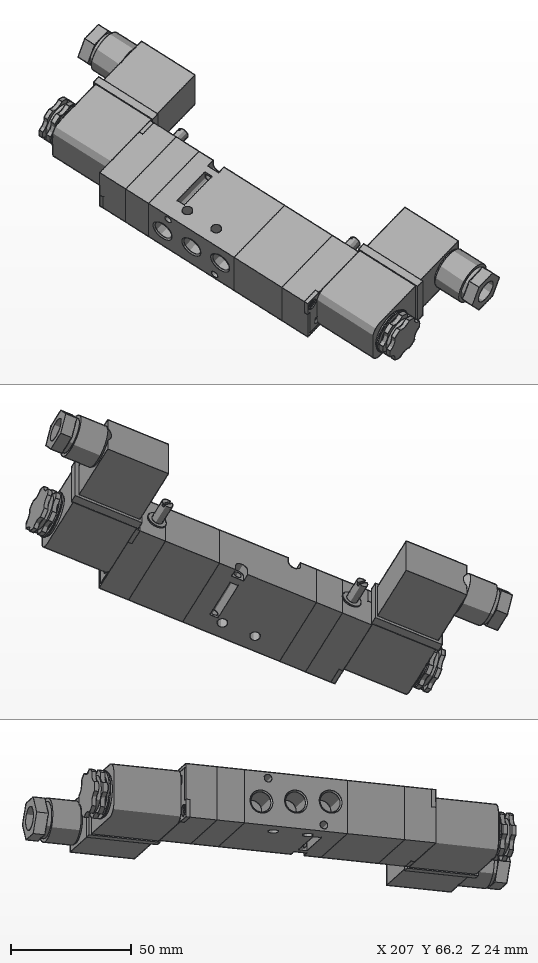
import cadquery as cq

stack_half_length = 54.7
end_block_length = 13.7
left_spacer_length = 12.0
right_spacer_length = 25.0
block_back = 0.8
block_front = -33.1
block_height = 23.2
block_half_height = block_height / 2
block_depth = block_back - block_front
end_block_inner = stack_half_length - end_block_length
body_left = -end_block_inner + left_spacer_length
body_right = end_block_inner - right_spacer_length

body_middle = (body_left + body_right) / 2
port_pitch = 15.1
port_stagger = 1.55
port_mouth_diameter = 10.0
port_diameter = 8.7
port_chamfer = (port_mouth_diameter - port_diameter) / 2
port_depth = 12.5
cross_hole_diameter = 4.3
cross_hole_half_pitch = port_pitch / 2
cross_hole_y = -26.0
bolt_hole_diameter = 3.3
bolt_hole_offset_x = 12.2
bolt_hole_offset_z = 9.0
bolt_seat_width = 5.5
bolt_seat_depth = 3.7
groove_width = 3.7
groove_back = -6.0
groove_front = -24.6

button_x = -45.1
button_diameter = 5.0
button_length = 10.1
collar_diameter = 8.5
collar_height = 0.6
button_slot_width = 1.0
button_slot_depth = 1.0
button_slot_angle = 45

plate_thickness = 1.9
plate_margin = 1.5
lug_length_y = 7.5
lug_length_z = 7.7
plate_middle_y = (block_back + block_front) / 2
screw_inset_y = 3.1
screw_inset_z = 3.7
screw_head_diameter = 5.0
screw_head_depth = 0.6
cross_slot_length = 3.3
cross_slot_width = 1.0
vent_diameter = 4.3
vent_y = -26.3
vent_z = 6.2

housing_left = -84.0
housing_back = 1.7
housing_front = -27.1
housing_height = 23.0
housing_fillet = 5.2
flange_left = -85.1
flange_right = -54.0
flange_back = 5.2
flange_height = 24.0
head_left = -83.3
head_right = -55.0
head_back = 31.5
head_height = 20.5

gland_tip = -103.5
gland_diameter = 18.5
gland_y = 33.1 - gland_diameter / 2
gland_nut_sides = 6
gland_nut_length = 5.2
gland_neck_diameter = 15.5
gland_neck_length = 1.9
gland_bore_diameter = 10.0
gland_bore_depth = gland_nut_length + gland_neck_length
gland_taper_start = -84.0
gland_taper_length = 2.7
gland_taper_diameter = 15.0

knob_y = -16.0
knob_diameter = 20.0
knob_neck_diameter = 15.5
knob_tip = -92.2
knob_rims = [(knob_tip, 1.9), (-88.5, 2.0)]
knob_washer_left = -85.7
knob_washer_thickness = 0.6
knob_base_diameter = 18.5
notch_count = 6
notch_diameter = 9.0
notch_floor = 8.3


def box_between(x_min, x_max, y_min, y_max, z_min, z_max):
    size = (x_max - x_min, y_max - y_min, z_max - z_min)
    return cq.Workplane("XY").box(*size, centered=False).translate((x_min, y_min, z_min))


def block_between(x_min, x_max):
    return box_between(x_min, x_max, block_front, block_back, -block_half_height, block_half_height)


def rod_along_x(x_min, length, diameter, y, z=0):
    return cq.Workplane("YZ", origin=(x_min, y, z)).circle(diameter / 2).extrude(length)


def rod_along_y(y_min, length, diameter, x, z=0):
    return cq.Workplane("XZ", origin=(x, y_min, z)).circle(diameter / 2).extrude(-length)


def half_turn(workplane, x=0):
    """The same shape after half a turn about an axis along Y."""
    return workplane.rotate((x, 0, 0), (x, 1, 0), 180)


def plate_shape():
    """A plate inside the block outline, with lugs reaching out at two opposite corners."""
    x_min = -stack_half_length
    x_max = x_min + plate_thickness
    plate = box_between(
        x_min, x_max,
        block_front + plate_margin, block_back - plate_margin,
        -block_half_height + plate_margin, block_half_height - plate_margin,
    )
    lug = box_between(
        x_min, x_max,
        block_front, block_front + lug_length_y,
        -block_half_height, -block_half_height + lug_length_z,
    )
    opposite_lug = lug.rotate((0, plate_middle_y, 0), (1, plate_middle_y, 0), 180)
    return plate.union(lug).union(opposite_lug)


def cut_screws(plate):
    """A screw recess with a cross slot in each lug."""
    screw_y = block_front + screw_inset_y
    screw_z = -block_half_height + screw_inset_z
    head = rod_along_x(-stack_half_length, screw_head_depth, screw_head_diameter, screw_y, screw_z)
    cross = (
        cq.Workplane("YZ", origin=(-stack_half_length, screw_y, screw_z))
        .rect(cross_slot_length, cross_slot_width)
        .extrude(plate_thickness)
    )
    crossed = cross.rotate((0, screw_y, screw_z), (1, screw_y, screw_z), 90)
    screw = head.union(cross).union(crossed)
    opposite_screw = screw.rotate((0, plate_middle_y, 0), (1, plate_middle_y, 0), 180)
    return plate.cut(screw).cut(opposite_screw)


def cut_vent(plate):
    """A round hole through the plate, partly covered by the housing."""
    return plate.cut(rod_along_x(-stack_half_length, plate_thickness, vent_diameter, vent_y, vent_z))


def make_end_block():
    block = block_between(-stack_half_length, -end_block_inner).cut(plate_shape())
    collar = rod_along_y(block_back, collar_height, collar_diameter, button_x)
    button = rod_along_y(block_back, button_length, button_diameter, button_x)
    slot_y = block_back + button_length - button_slot_depth
    slot = (
        cq.Workplane("XY")
        .box(collar_diameter, button_slot_depth, button_slot_width, centered=(True, False, True))
        .rotate((0, 0, 0), (0, 1, 0), button_slot_angle)
        .translate((button_x, slot_y, 0))
    )
    return block.union(collar).union(button.cut(slot))


def make_gland():
    nut_end = gland_tip + gland_nut_length
    sleeve_left = nut_end + gland_neck_length
    nut = cq.Workplane("YZ", origin=(gland_tip, gland_y, 0)).polygon(gland_nut_sides, gland_diameter)
    nut = nut.extrude(gland_nut_length)
    neck = rod_along_x(nut_end, gland_neck_length, gland_neck_diameter, gland_y)
    sleeve = rod_along_x(sleeve_left, gland_taper_start - sleeve_left, gland_diameter, gland_y)
    taper = (
        cq.Workplane("YZ", origin=(gland_taper_start, gland_y, 0))
        .circle(gland_diameter / 2)
        .workplane(offset=gland_taper_length)
        .circle(gland_taper_diameter / 2)
        .loft()
    )
    bore = rod_along_x(gland_tip, gland_bore_depth, gland_bore_diameter, gland_y)
    return nut.union(neck).union(sleeve).union(taper).cut(bore)


def make_knob_rim(x_min, thickness):
    """A disc with round notches cut into its edge."""
    rim = rod_along_x(x_min, thickness, knob_diameter, knob_y)
    notch = rod_along_x(x_min, thickness, notch_diameter, knob_y, notch_floor + notch_diameter / 2)
    for index in range(notch_count):
        angle = index * 360 / notch_count
        rim = rim.cut(notch.rotate((0, knob_y, 0), (1, knob_y, 0), angle))
    return rim


def make_knob():
    washer_right = knob_washer_left + knob_washer_thickness
    knob = rod_along_x(knob_tip, housing_left - knob_tip, knob_neck_diameter, knob_y)
    washer = rod_along_x(knob_washer_left, knob_washer_thickness, knob_diameter, knob_y)
    base = rod_along_x(washer_right, housing_left - washer_right, knob_base_diameter, knob_y)
    knob = knob.union(washer).union(base)
    for rim_left, thickness in knob_rims:
        knob = knob.union(make_knob_rim(rim_left, thickness))
    return knob


def make_solenoid():
    housing = box_between(
        housing_left, -stack_half_length,
        housing_front, housing_back,
        -housing_height / 2, housing_height / 2,
    )
    housing = housing.edges("|X and <Y").fillet(housing_fillet)
    flange = box_between(
        flange_left, flange_right,
        housing_back, flange_back,
        -flange_height / 2, flange_height / 2,
    )
    head = box_between(
        head_left, head_right,
        flange_back, head_back,
        -head_height / 2, head_height / 2,
    )
    solenoid = cut_vent(cut_screws(plate_shape())).union(housing).union(flange).union(head)
    return solenoid.union(make_gland()).union(make_knob())


def cut_ports(body):
    for step in (-1, 0, 1):
        x = body_middle + step * port_pitch
        z = step * port_stagger
        port = rod_along_y(block_front, port_depth, port_diameter, x, z)
        mouth = (
            cq.Workplane("XZ", origin=(x, block_front, z))
            .circle(port_mouth_diameter / 2)
            .workplane(offset=-port_chamfer)
            .circle(port_diameter / 2)
            .loft()
        )
        body = body.cut(port).cut(mouth)
    return body


def cut_cross_holes(body):
    for side in (-1, 1):
        x = body_middle + side * cross_hole_half_pitch
        hole = (
            cq.Workplane("XY", origin=(x, cross_hole_y, -block_half_height))
            .circle(cross_hole_diameter / 2)
            .extrude(block_height)
        )
        body = body.cut(hole)
    return body


def round_bottomed_slot(x, z, width, y_min, y_max):
    """A slot along Y, open to the top face, with its round floor centred on (x, z)."""
    floor = rod_along_y(y_min, y_max - y_min, width, x, z)
    opening = box_between(x - width / 2, x + width / 2, y_min, y_max, z, block_half_height)
    return floor.union(opening)


def cut_bolt_holes(body):
    """A bolt hole with its head seat and clearance groove, repeated by a half turn."""
    x = body_middle - bolt_hole_offset_x
    z = bolt_hole_offset_z
    hole = rod_along_y(block_front, block_depth, bolt_hole_diameter, x, z)
    seat = round_bottomed_slot(x, z, bolt_seat_width, block_back - bolt_seat_depth, block_back)
    groove = round_bottomed_slot(x, z, groove_width, groove_front, groove_back)
    bolt_cut = hole.union(seat).union(groove)
    return body.cut(bolt_cut).cut(half_turn(bolt_cut, body_middle))


def make_body():
    body = block_between(body_left, body_right)
    return cut_bolt_holes(cut_cross_holes(cut_ports(body)))


body = make_body()
left_spacer = block_between(-end_block_inner, body_left)
right_spacer = block_between(body_right, end_block_inner)
end_block = make_end_block()
solenoid = make_solenoid()

result = cq.Compound.makeCompound([
    body.val(),
    left_spacer.val(),
    right_spacer.val(),
    *[part.val() for part in (end_block, half_turn(end_block))],
    *[part.val() for part in (solenoid, half_turn(solenoid))],
])